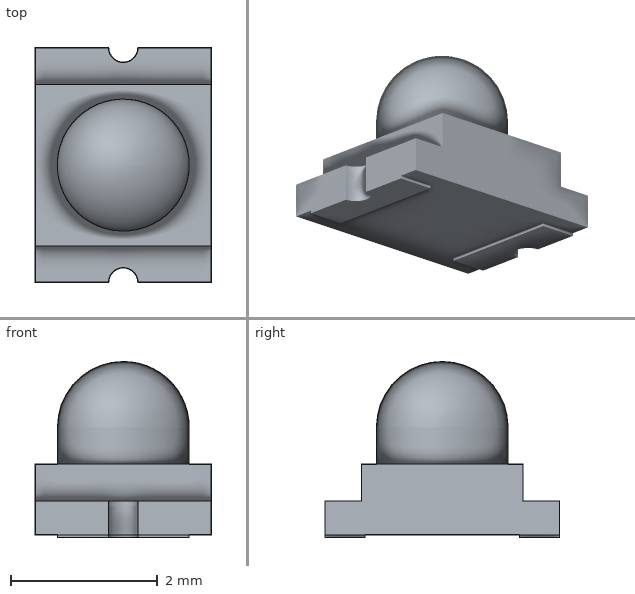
import cadquery as cq

width = 2.4
length = 3.2
height = 2.4

lens_diameter = 1.8
lens_radius = lens_diameter / 2
lens_base_height = 0.5

block_length = 2.2
block_height = 0.5
notch_radius = 0.2

pad_width = 1.8
pad_length = 0.55
pad_thickness = 0.04

housing_top = height - lens_radius - lens_base_height
ledge_top = housing_top - block_height


def cut_end_notches(body):
    """Cut the half-round vertical notch in the middle of each end."""
    notches = (
        cq.Workplane("XY")
        .pushPoints([(0, -length / 2), (0, length / 2)])
        .circle(notch_radius)
        .extrude(housing_top)
    )
    return body.cut(notches)


def make_housing():
    base = (
        cq.Workplane("XY")
        .workplane(offset=pad_thickness)
        .rect(width, length)
        .extrude(ledge_top - pad_thickness)
    )
    block = (
        cq.Workplane("XY")
        .workplane(offset=ledge_top)
        .rect(width, block_length)
        .extrude(block_height)
    )
    return cut_end_notches(base.union(block))


def make_lens():
    """Revolve the half profile of the domed lens about the Z axis."""
    dome_start = housing_top + lens_base_height
    diagonal = lens_radius * 0.5 ** 0.5
    return (
        cq.Workplane("XZ")
        .moveTo(0, housing_top)
        .lineTo(lens_radius, housing_top)
        .lineTo(lens_radius, dome_start)
        .threePointArc((diagonal, dome_start + diagonal), (0, height))
        .close()
        .revolve(360, (0, 0), (0, 1))
    )


def make_pad(end):
    """Make the pad at the -Y end (end = -1) or the +Y end (end = 1)."""
    pad = (
        cq.Workplane("XY")
        .center(0, end * (length - pad_length) / 2)
        .rect(pad_width, pad_length)
        .extrude(pad_thickness)
    )
    return cut_end_notches(pad)


housing = make_housing()
lens = make_lens()
pads = [make_pad(end) for end in (-1, 1)]

result = cq.Compound.makeCompound([housing.val(), lens.val(), *[pad.val() for pad in pads]])